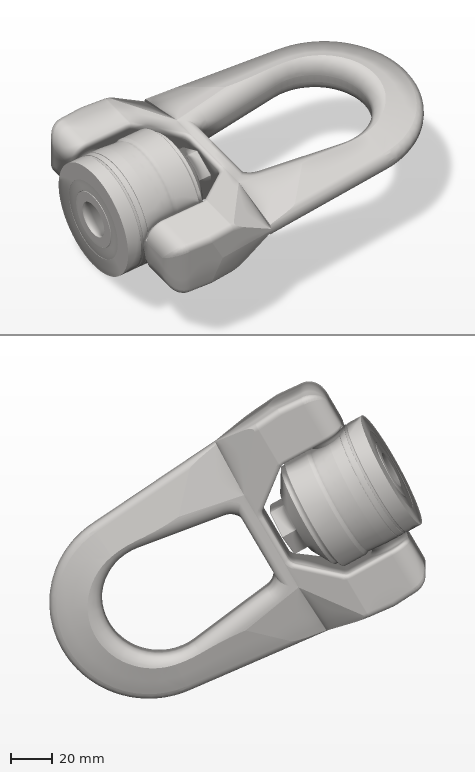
import cadquery as cq
import math


SWIVEL_RADIUS = 30.0
DISK_HEIGHT = 8.0
EDGE_BREAK = 0.4
RELIEF_RADIUS = 21.0
RELIEF_DEPTH = 0.2
HOUSING_TOP = 43.0
CAP_BOTTOM = 30.7
WAIST_TOP = 28.7
WAIST_RADIUS = 29.2
GROOVE_RADIUS = 29.6
LOWER_GROOVE_TOP = 9.2
THIN_GROOVE_BOTTOM = 11.9
THIN_GROOVE_TOP = 12.4

SHANK_RADIUS = 29.72 / 2
BORE_RADIUS = 30.12 / 2
THREAD_RADIUS = 18.75 / 2
COLLAR_RADIUS = 27.0
COLLAR_TOP = 46.1
CONE_TOP = 52.5
CONE_TOP_RADIUS = 16.5
HEX_ACROSS_FLATS = 24.0
HEX_TOP = 60.8

RING_TOP = 183.0
OUTER_RADIUS = 48.1
OUTER_CENTER = RING_TOP - OUTER_RADIUS
LEG_ANGLE = 5.35
EYE_RADIUS = 27.6
EYE_CENTER = 129.2
EYE_ANGLE = 8.3
EYE_BOTTOM = 74.1
EYE_CORNER = 8.0

RING_HALF = 10.25
NOSE_HALF = 4.0
FLANK_ANGLE = 71.5
NOSE_ROUND = 5.0
EYE_ROUND = 8.0
LEG_FLANK = (RING_HALF - NOSE_HALF) * math.tan(math.radians(FLANK_ANGLE))

PIN_CENTER = 18.5
PIN_RADIUS = 9.6
PIN_END = 25.0
PIN_FLARE = 1.8
ARM_HALF = 15.5
ARM_BOTTOM = 8.8
ARM_ROUND = PIN_CENTER - ARM_BOTTOM
ARM_SLOPE_START = 43.7
ARM_TOP = 66.8
CREASE_ROUND = 2.0
RIDGE_END = 36.6
HEEL_X = 56.2
ARM_DRAFT = 4.4
ARM_EDGE_ROUND = 3.0
FACET_INNER_X = 26.7
FACET_RIM_HALF = 1.0
LEG_FACET_RIM_HALF = 3.0
FACET_OUTER_X = 56.0
LEG_FACET_TOP = 100.0
SLOT_HALF = 31.8
SLOT_SHOULDER = 43.0
SLOT_TOP = 64.2
SLOT_TOP_HALF = 14.3
SLOT_CORNER = 5.0
SLOT_EDGE_ROUND = 2.0
BAR_ROUND = 3.7

FAR = 200.0


def leg_x(y):
    """Outer half width of the ring at height y along the straight leg."""
    angle = math.radians(LEG_ANGLE)
    tangent_x = OUTER_RADIUS * math.cos(angle)
    tangent_y = OUTER_CENTER + OUTER_RADIUS * math.sin(angle)
    return tangent_x + (tangent_y - y) * math.tan(angle)


def revolve_about_y(points):
    """Turn an (r, y) outline around the swivel axis."""
    return cq.Workplane("XY").polyline(points).close().revolve(360, (0, 0, 0), (0, 1, 0))


def space_above(origin, second, third):
    """Big block on the +Z side of the plane through three points."""
    start = cq.Vector(*origin)
    x_dir = cq.Vector(*second) - start
    normal = x_dir.cross(cq.Vector(*third) - start)
    if normal.z < 0:
        normal = normal * -1
    plane = cq.Plane(origin=origin, xDir=x_dir.toTuple(), normal=normal.toTuple())
    return cq.Workplane(plane).rect(FAR, FAR).extrude(FAR)


def cut_in_four_corners(body, tool):
    """Cut a tool and its mirror images about X = 0 and Z = 0."""
    pair = [tool, tool.mirror("YZ")]
    for corner in pair + [side.mirror("XY") for side in pair]:
        body = body.cut(corner)
    return body


def make_disk():
    return revolve_about_y([
        (BORE_RADIUS, RELIEF_DEPTH),
        (RELIEF_RADIUS, RELIEF_DEPTH),
        (RELIEF_RADIUS, 0),
        (SWIVEL_RADIUS, 0),
        (SWIVEL_RADIUS, DISK_HEIGHT - EDGE_BREAK),
        (SWIVEL_RADIUS - EDGE_BREAK, DISK_HEIGHT),
        (BORE_RADIUS, DISK_HEIGHT),
    ])


def pin_blanks(radius):
    """Both trunnion cylinders, from their inner ends out to the arms."""
    blank = (
        cq.Workplane("YZ", origin=(PIN_END, PIN_CENTER, 0))
        .circle(radius)
        .extrude(SLOT_HALF + ARM_ROUND / 2 - PIN_END)
    )
    return blank.union(blank.mirror("YZ"))


def make_housing():
    body = revolve_about_y([
        (BORE_RADIUS, DISK_HEIGHT),
        (GROOVE_RADIUS, DISK_HEIGHT),
        (GROOVE_RADIUS, LOWER_GROOVE_TOP),
        (SWIVEL_RADIUS, LOWER_GROOVE_TOP),
        (SWIVEL_RADIUS, THIN_GROOVE_BOTTOM),
        (GROOVE_RADIUS, THIN_GROOVE_BOTTOM),
        (GROOVE_RADIUS, THIN_GROOVE_TOP),
        (SWIVEL_RADIUS, THIN_GROOVE_TOP),
        (SWIVEL_RADIUS, PIN_CENTER),
        (WAIST_RADIUS, WAIST_TOP),
        (SWIVEL_RADIUS, CAP_BOTTOM),
        (SWIVEL_RADIUS, HOUSING_TOP - EDGE_BREAK),
        (SWIVEL_RADIUS - EDGE_BREAK, HOUSING_TOP),
        (BORE_RADIUS, HOUSING_TOP),
    ])
    return body.cut(pin_blanks(PIN_RADIUS))


def make_axle():
    body = revolve_about_y([
        (0, 0),
        (SHANK_RADIUS, 0),
        (SHANK_RADIUS, HOUSING_TOP),
        (COLLAR_RADIUS, HOUSING_TOP),
        (COLLAR_RADIUS, COLLAR_TOP),
        (CONE_TOP_RADIUS, CONE_TOP),
        (0, CONE_TOP),
    ])
    across_corners = HEX_ACROSS_FLATS / math.cos(math.pi / 6)
    hexagon = (
        cq.Workplane("XZ", origin=(0, CONE_TOP, 0))
        .transformed(rotate=(0, 0, 90))
        .polygon(6, across_corners)
        .extrude(CONE_TOP - HEX_TOP)
        .faces(">Y")
        .chamfer(EDGE_BREAK)
    )
    hole = cq.Workplane("XZ").circle(THREAD_RADIUS).extrude(-HEX_TOP)
    return body.union(hexagon).cut(hole)


def make_loop():
    """Ring arch and legs: rounded outer rim, sloping flanks, rounded eye."""
    angle = math.radians(LEG_ANGLE)
    rim_x = OUTER_RADIUS * math.cos(angle)
    rim_y = OUTER_CENTER + OUTER_RADIUS * math.sin(angle)

    def rim(z):
        return (
            cq.Workplane("XY", origin=(0, 0, z))
            .moveTo(leg_x(0), 0)
            .lineTo(rim_x, rim_y)
            .threePointArc((0, RING_TOP), (-rim_x, rim_y))
            .lineTo(-leg_x(0), 0)
            .close()
        )

    half = rim(0).extrude(NOSE_HALF)
    half = half.union(rim(NOSE_HALF).extrude(RING_HALF - NOSE_HALF, taper=FLANK_ANGLE))
    rim_band = cq.selectors.BoxSelector((-FAR, 1, NOSE_HALF - 0.1), (FAR, FAR, NOSE_HALF + 0.1))
    half = half.edges(rim_band).fillet(NOSE_ROUND)
    loop = half.union(half.mirror("XY"))
    return loop.intersect(make_eye_plate())


def make_eye_plate():
    """Wide plate holding the eye, with the rounded inner side of the ring."""
    plate = cq.Workplane("XY").rect(FAR * 2, FAR * 2).extrude(RING_HALF).cut(make_eye())
    around_eye = cq.selectors.BoxSelector((-FAR / 2, 0, 0), (FAR / 2, RING_TOP, FAR))
    plate = plate.faces(">Z").edges(around_eye).fillet(EYE_ROUND)
    return plate.union(plate.mirror("XY"))


def make_eye():
    angle = math.radians(EYE_ANGLE)
    side_x = EYE_RADIUS * math.cos(angle)
    side_y = EYE_CENTER - EYE_RADIUS * math.sin(angle)
    bottom_x = side_x - (side_y - EYE_BOTTOM) * math.tan(angle)
    return (
        cq.Workplane("XY")
        .moveTo(-bottom_x, EYE_BOTTOM)
        .lineTo(-side_x, side_y)
        .threePointArc((0, EYE_CENTER + EYE_RADIUS), (side_x, side_y))
        .lineTo(bottom_x, EYE_BOTTOM)
        .close()
        .extrude(FAR, both=True)
        .edges("|Z and <Y")
        .fillet(EYE_CORNER)
    )


def corner_arc(center_a, center_b, radius):
    """Middle point of the round between level and upright, lower right."""
    reach = radius * math.sqrt(0.5)
    return (center_a + reach, center_b - reach)


def make_fork():
    """Both arms below the legs, with the slot between them."""
    heel_arc = corner_arc(HEEL_X - ARM_ROUND, PIN_CENTER, ARM_ROUND)
    plan = (
        cq.Workplane("XY")
        .moveTo(0, ARM_BOTTOM)
        .lineTo(HEEL_X - ARM_ROUND, ARM_BOTTOM)
        .threePointArc(heel_arc, (HEEL_X, PIN_CENTER))
        .lineTo(leg_x(RIDGE_END), RIDGE_END)
        .lineTo(leg_x(ARM_TOP), ARM_TOP)
        .lineTo(0, ARM_TOP)
        .close()
        .extrude(ARM_HALF)
    )

    flat_half = ARM_HALF - ARM_ROUND
    toe_arc = corner_arc(flat_half, PIN_CENTER, ARM_ROUND)
    side = (
        cq.Workplane("ZY")
        .moveTo(0, ARM_BOTTOM)
        .lineTo(flat_half, ARM_BOTTOM)
        .threePointArc(toe_arc, (ARM_HALF, PIN_CENTER))
        .lineTo(ARM_HALF, ARM_SLOPE_START)
        .lineTo(RING_HALF, ARM_TOP)
        .lineTo(0, ARM_TOP)
        .close()
        .extrude(-FAR)
        .edges(cq.selectors.NearestToPointSelector((FAR / 2, ARM_SLOPE_START, ARM_HALF)))
        .fillet(CREASE_ROUND)
    )

    drafted = (
        cq.Workplane("XY")
        .moveTo(-FAR, -FAR)
        .lineTo(leg_x(-FAR), -FAR)
        .lineTo(leg_x(FAR), FAR)
        .lineTo(-FAR, FAR)
        .close()
        .extrude(ARM_HALF, taper=ARM_DRAFT)
    )
    quarter = plan.intersect(side).intersect(drafted)

    upper_facet = space_above(
        (leg_x(ARM_TOP), ARM_TOP, FACET_RIM_HALF),
        (FACET_INNER_X, ARM_TOP, RING_HALF),
        (FACET_OUTER_X, ARM_SLOPE_START, ARM_HALF),
    )
    quarter = quarter.cut(upper_facet)
    outer_edge = cq.selectors.BoxSelector(
        (HEEL_X - 3, PIN_CENTER + 0.1, ARM_HALF - 0.1),
        (FAR, ARM_SLOPE_START - 0.1, ARM_HALF + 0.1),
    )
    quarter = quarter.edges(outer_edge).fillet(ARM_EDGE_ROUND)
    quarter = round_slot_edges(quarter.cut(make_slot()))
    half = quarter.union(quarter.mirror("YZ"))
    return half.union(half.mirror("XY"))


def make_slot():
    half = [
        (SLOT_HALF, 0),
        (SLOT_HALF, SLOT_SHOULDER),
        (SLOT_TOP_HALF, SLOT_TOP),
    ]
    outline = half + [(-x, y) for x, y in reversed(half)]
    return (
        cq.Workplane("XY")
        .polyline(outline)
        .close()
        .extrude(FAR, both=True)
        .edges("|Z and (not <Y)")
        .fillet(SLOT_CORNER)
    )


def round_slot_edges(quarter):
    """Round the slot rim of one fork quarter, down to the bottom of the arm."""
    rim = cq.selectors.BoxSelector((0, 0, RING_HALF), (SLOT_HALF + 0.1, SLOT_TOP + 0.1, FAR))
    arm_bottom = cq.selectors.BoxSelector((0, 0, 0.1), (SLOT_HALF + 0.1, ARM_BOTTOM + 0.1, FAR))
    return quarter.edges(rim + arm_bottom).fillet(SLOT_EDGE_ROUND)


def make_bar():
    """Bar closing the eye above the slot."""
    return (
        cq.Workplane("XZ", origin=(0, ARM_TOP, 0))
        .rect(2 * FACET_INNER_X, 2 * RING_HALF)
        .extrude(ARM_TOP - EYE_BOTTOM)
        .edges("|X and >Y")
        .fillet(BAR_ROUND)
    )


def make_pins():
    """Trunnion pins with a concave flare where they leave the arms."""
    flare_rim = PIN_RADIUS + PIN_FLARE
    flare_start = SLOT_HALF - PIN_FLARE
    bend = PIN_FLARE * math.sqrt(0.5)
    pin = (
        cq.Workplane("XY", origin=(0, PIN_CENTER, 0))
        .moveTo(PIN_END, 0)
        .lineTo(PIN_END, PIN_RADIUS)
        .lineTo(flare_start, PIN_RADIUS)
        .threePointArc((flare_start + bend, flare_rim - bend), (SLOT_HALF, flare_rim))
        .lineTo(SLOT_HALF + ARM_ROUND / 2, flare_rim)
        .lineTo(SLOT_HALF + ARM_ROUND / 2, 0)
        .close()
        .revolve(360, (0, 0, 0), (1, 0, 0))
    )
    below_pins = (
        cq.Workplane("XZ", origin=(0, PIN_CENTER - PIN_RADIUS, 0)).rect(FAR, FAR).extrude(FAR)
    )
    pin = pin.cut(below_pins)
    return pin.union(pin.mirror("YZ"))


def make_ring():
    below_legs = cq.Workplane("XZ", origin=(0, ARM_TOP, 0)).rect(FAR, FAR).extrude(FAR)
    loop = make_loop().cut(below_legs)
    leg_facet = space_above(
        (leg_x(ARM_TOP), ARM_TOP, LEG_FACET_RIM_HALF),
        (FACET_INNER_X, ARM_TOP, RING_HALF),
        (leg_x(LEG_FACET_TOP) - LEG_FLANK, LEG_FACET_TOP, RING_HALF),
    )
    loop = cut_in_four_corners(loop, leg_facet)
    body = loop.union(make_fork()).union(make_bar())
    return body.union(make_pins())


disk = make_disk()
housing = make_housing()
axle = make_axle()
ring = make_ring()

result = cq.Compound.makeCompound([disk.val(), housing.val(), axle.val(), ring.val()])